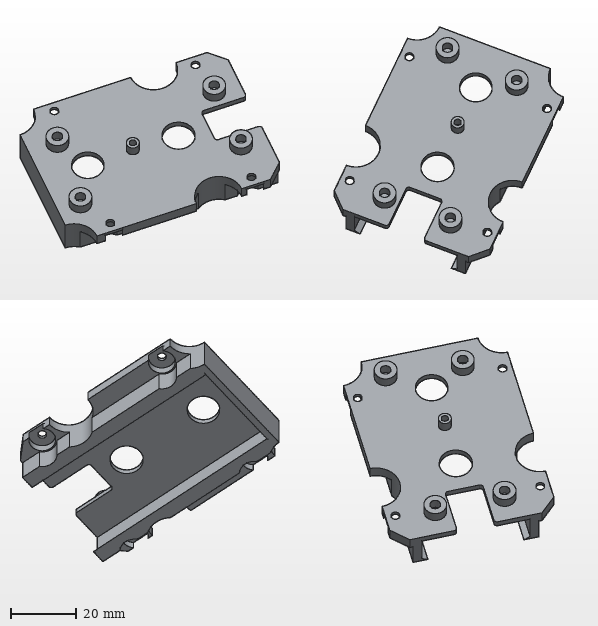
import cadquery as cq

width = 52.0
length = 70.0
total_height = 15.5
boss_height = 3.5
flange_thickness = 4.0
roof_thickness = 2.0
plate_top = total_height - boss_height
flange_bottom = plate_top - flange_thickness
roof_bottom = plate_top - roof_thickness
half_width = width / 2
half_length = length / 2

block_width = 39.9
corner_chamfer = 5.05
cavity_half_width = 17.15
opening_half_width = 15.2
skirt_height = 1.1
end_wall = 2.1

notch_width = 11.9
notch_depth = 15.1
notch_fillet = 1.0

cutout_radius = 7.5
left_cutout_y = 12.2
right_cutout_y = 12.95

large_holes = [(10.0, 10.2), (-20.0, 10.0)]

screw_x = 22.95
screw_ys = [24.9, -21.85]
screw_diameter = 2.7
nut_recess_radius = 4.1
nut_recess_top = plate_top - 1.2
scoop_radius = 4.55

boss_diameter = 7.0
boss_hole = 3.2
boss_places = [(-11.3, 26.4), (10.7, 26.4), (-11.3, -25.55), (12.7, -27.6)]
pin_diameter = 4.0
pin_hole = 2.2
pin_place = (-0.35, -5.0)


def box(x_size, y_size, bottom, top, x=0, y=0):
    """Box centred on (x, y) between two heights."""
    solid = cq.Workplane("XY").box(x_size, y_size, top - bottom, centered=(True, True, False))
    return solid.translate((x, y, bottom))


def cylinder(radius, bottom, top, x, y):
    """Upright cylinder centred on (x, y) between two heights."""
    return cq.Workplane("XY").circle(radius).extrude(top - bottom).translate((x, y, bottom))


def body():
    """Flanged block with the two +Y flange corners cut off."""
    flange = box(width, length, flange_bottom, plate_top)
    flange = flange.edges("|Z and >Y").chamfer(corner_chamfer)
    return flange.union(box(block_width, length, 0, flange_bottom))


def cavity():
    """Hollow with sloping skirts along the lower inside edges of its side walls."""
    profile = [
        (-opening_half_width, 0),
        (opening_half_width, 0),
        (cavity_half_width, skirt_height),
        (cavity_half_width, roof_bottom),
        (-cavity_half_width, roof_bottom),
        (-cavity_half_width, skirt_height),
    ]
    hollow = cq.Workplane("XZ").polyline(profile).close().extrude(-(length - end_wall))
    return hollow.translate((0, -half_length + end_wall, 0))


def notch_mouth(part):
    """Cut the notch and round its inner and outer corners."""
    notch = box(notch_width, notch_depth, roof_bottom, plate_top, y=half_length - notch_depth / 2)
    part = part.cut(notch)
    half_notch = notch_width / 2
    margin = 0.1
    corners = cq.selectors.BoxSelector(
        (-half_notch - margin, half_length - notch_depth - margin, roof_bottom - margin),
        (half_notch + margin, half_length + margin, plate_top + margin),
    )
    return part.edges("|Z").edges(corners).fillet(notch_fillet)


def add_boss(part, diameter, hole_diameter, x, y):
    """Add a round boss with a blind hole down to the plate."""
    part = part.union(cylinder(diameter / 2, plate_top, total_height, x, y))
    return part.cut(cylinder(hole_diameter / 2, plate_top, total_height, x, y))


def corner_screw(side, y):
    """Screw hole, nut recess breaking out of the flange side, and scoop; side is -1 or 1."""
    x = side * screw_x
    cut = cylinder(screw_diameter / 2, 0, plate_top, x, y)
    cut = cut.union(cylinder(nut_recess_radius, flange_bottom, nut_recess_top, x, y))
    return cut.union(cylinder(scoop_radius, 0, flange_bottom, x, y))


result = notch_mouth(body().cut(cavity()))

cutout_places = [
    (-half_width, left_cutout_y),
    (half_width, right_cutout_y),
    (-half_width, -half_length),
    (half_width, -half_length),
]
for cutout_x, cutout_y in cutout_places:
    result = result.cut(cylinder(cutout_radius, 0, plate_top, cutout_x, cutout_y))

for hole_y, hole_diameter in large_holes:
    result = result.cut(cylinder(hole_diameter / 2, 0, plate_top, 0, hole_y))

for screw_side in (-1, 1):
    for screw_y in screw_ys:
        result = result.cut(corner_screw(screw_side, screw_y))

for boss_x, boss_y in boss_places:
    result = add_boss(result, boss_diameter, boss_hole, boss_x, boss_y)
result = add_boss(result, pin_diameter, pin_hole, *pin_place)